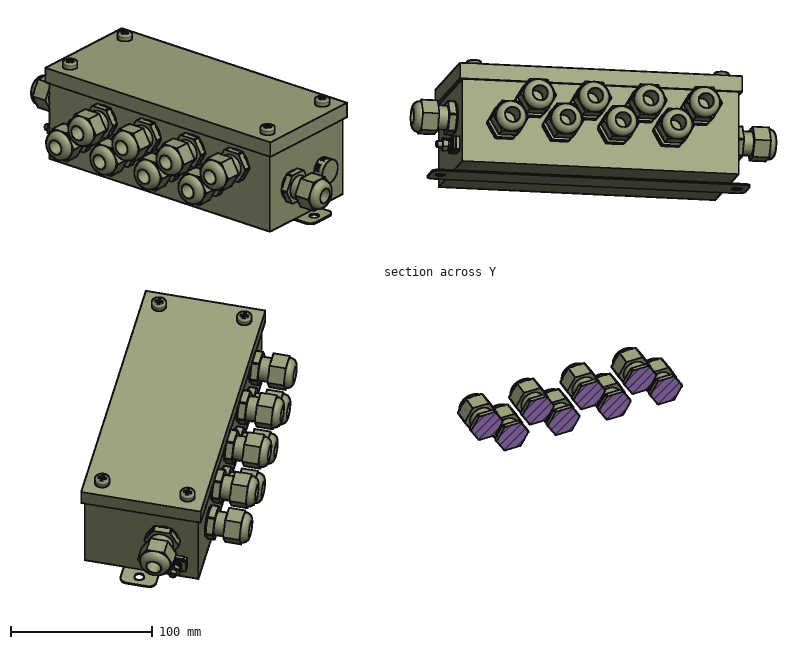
import cadquery as cq
import math

overall_length = 261.7
gland_reach = 31.0
body_length = overall_length - 2 * gland_reach
body_width = 82.7
lid_overhang = 2.0
plate_thickness = 1.0
lid_bottom = 60.7
lid_top = 72.0

plate_length = 229.8
plate_width = 26.0
plate_corner_radius = 5.2
plate_hole_spacing = 214.0
plate_hole_diameter = 6.8

screw_spacing_x = 179.0
screw_spacing_y = 62.0
screw_diameter = 10.5
screw_height = 4.7
screw_fillet = 1.7
recess_length = 5.2
recess_width = 1.5
recess_depth = 2.0

gland_flats = 22.0
gland_corners = gland_flats / math.cos(math.pi / 6)
gasket_diameter = 21.5
gasket_top = 1.0
locknut_diameter = 24.9
locknut_top = 6.3
neck_diameter = 17.3
neck_top = 14.0
cap_top = 25.6
dome_fillet = 5.0
bore_diameter = 10.7

front_gland_count = 8
front_gland_span = 140.0
front_gland_pitch = front_gland_span / (front_gland_count - 1)
front_low_z = 29.3
front_high_z = 46.0
left_gland_y = -16.0
left_gland_z = 38.0
right_gland_y = -17.5
right_gland_z = 29.3

terminal_y = -26.0
terminal_z = 16.2
clamp_width = 14.7
clamp_height = 9.2
inner_plate_top = 2.5
outer_plate_bottom = 3.5
clamp_top = 5.0
clamp_centre_width = 10.0
clamp_centre_height = 10.5
washer_diameter = 9.2
washer_top = 6.0
spring_washer_diameter = 7.0
spring_washer_top = 7.3
terminal_nut_corners = 9.2
terminal_nut_top = 11.3
stud_diameter = 4.5
stud_top = 15.7
stud_chamfer = 0.8

vent_y = 17.3
vent_z = 29.3
vent_diameter = 17.5
vent_height = 7.5
vent_window_count = 6
vent_window_width = 5.0
vent_window_bottom = 1.3
vent_window_top = 3.7
vent_window_depth = 1.3


def cylinder(diameter, bottom, top):
    return cq.Workplane("XY").workplane(offset=bottom).circle(diameter / 2).extrude(top - bottom)


def hexagon(corners, bottom, top):
    """Hexagonal prism with two of its corners on the X axis."""
    return cq.Workplane("XY").workplane(offset=bottom).polygon(6, corners).extrude(top - bottom)


def block(length, width, bottom, top):
    return cq.Workplane("XY").workplane(offset=bottom).rect(length, width).extrude(top - bottom)


def place(shape, origin, x_direction, normal):
    """Move a shape so that its X and Z axes follow the given directions."""
    return cq.Workplane(shape.val().moved(cq.Location(cq.Plane(origin, x_direction, normal))))


def on_front_wall(shape, x, z):
    return place(shape, (x, -body_width / 2, z), (1, 0, 0), (0, -1, 0))


def on_left_wall(shape, y, z):
    return place(shape, (-body_length / 2, y, z), (0, 1, 0), (-1, 0, 0))


def on_right_wall(shape, y, z):
    return place(shape, (body_length / 2, y, z), (0, 1, 0), (1, 0, 0))


def make_enclosure():
    plate = (
        block(plate_length, plate_width, 0, plate_thickness)
        .edges("|Z")
        .fillet(plate_corner_radius)
        .faces(">Z")
        .workplane()
        .rarray(plate_hole_spacing, 2.5, 2, 1)
        .hole(plate_hole_diameter)
    )
    body = block(body_length, body_width, plate_thickness, lid_bottom)
    lid_length = body_length + 2 * lid_overhang
    lid_width = body_width + 2 * lid_overhang
    lid = block(lid_length, lid_width, lid_bottom, lid_top)
    return plate.union(body).union(lid)


def make_screw():
    """Round-edged screw head with a cross recess."""
    head = cylinder(screw_diameter, 0, screw_height).faces(">Z").edges().fillet(screw_fillet)
    recess_bottom = screw_height - recess_depth
    for length, width in ((recess_length, recess_width), (recess_width, recess_length)):
        head = head.cut(block(length, width, recess_bottom, screw_height))
    return head


def make_gland():
    """Cable gland standing on the XY plane: gasket, locknut, neck and domed cap with a blind bore."""
    gasket = cylinder(gasket_diameter, 0, gasket_top)
    locknut = hexagon(gland_corners, gasket_top, locknut_top).intersect(
        cylinder(locknut_diameter, gasket_top, locknut_top)
    )
    neck = cylinder(neck_diameter, locknut_top, neck_top)
    cap = hexagon(gland_corners, neck_top, cap_top)
    dome = cylinder(gland_flats, cap_top, gland_reach).faces(">Z").edges().fillet(dome_fillet)
    bore = cylinder(bore_diameter, neck_top, gland_reach)
    return gasket.union(locknut).union(neck).union(cap).union(dome).cut(bore)


def make_terminal():
    """Two clamp plates with taller centres and a gap between them, held by washers and a nut on a stud."""
    terminal = block(clamp_centre_width, clamp_height, 0, clamp_top)
    for bottom, top in ((0, inner_plate_top), (outer_plate_bottom, clamp_top)):
        terminal = terminal.union(block(clamp_width, clamp_height, bottom, top))
        terminal = terminal.union(block(clamp_centre_width, clamp_centre_height, bottom, top))
    washer = cylinder(washer_diameter, clamp_top, washer_top)
    spring_washer = cylinder(spring_washer_diameter, washer_top, spring_washer_top)
    nut = hexagon(terminal_nut_corners, spring_washer_top, terminal_nut_top)
    nut = nut.rotate((0, 0, 0), (0, 0, 1), 90)
    stud = cylinder(stud_diameter, terminal_nut_top, stud_top).faces(">Z").edges().chamfer(stud_chamfer)
    return terminal.union(washer).union(spring_washer).union(nut).union(stud)


def make_vent():
    """Round plug with shallow windows spaced evenly around its rim."""
    plug = cylinder(vent_diameter, 0, vent_height)
    window = block(
        2 * vent_window_depth, vent_window_width, vent_window_bottom, vent_window_top
    ).translate((vent_diameter / 2, 0, 0))
    first_angle = 90
    for index in range(vent_window_count):
        angle = first_angle + index * 360 / vent_window_count
        plug = plug.cut(window.rotate((0, 0, 0), (0, 0, 1), angle))
    return plug


result = make_enclosure()

screw = make_screw()
for side_x in (-1, 1):
    for side_y in (-1, 1):
        screw_position = (side_x * screw_spacing_x / 2, side_y * screw_spacing_y / 2, lid_top)
        result = result.union(screw.translate(screw_position))

gland = make_gland()
for index in range(front_gland_count):
    gland_x = index * front_gland_pitch - front_gland_span / 2
    gland_z = front_low_z if index % 2 == 0 else front_high_z
    result = result.union(on_front_wall(gland, gland_x, gland_z))

result = result.union(on_left_wall(gland, left_gland_y, left_gland_z))
result = result.union(on_right_wall(gland, right_gland_y, right_gland_z))
result = result.union(on_left_wall(make_terminal(), terminal_y, terminal_z))
result = result.union(on_right_wall(make_vent(), vent_y, vent_z))